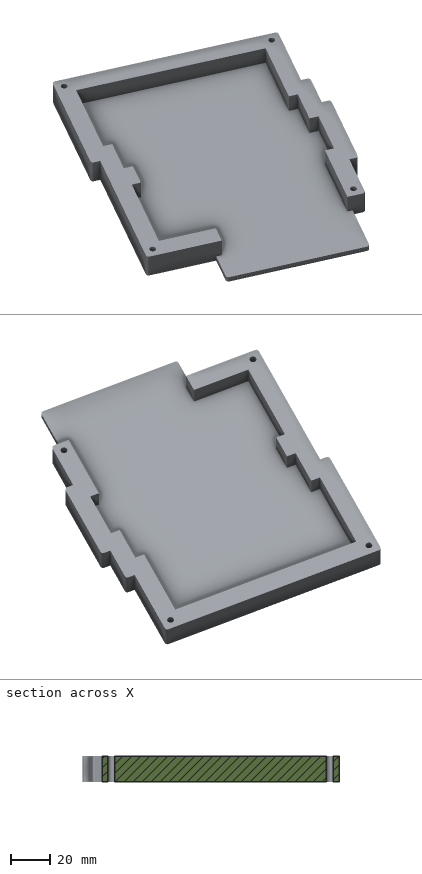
import cadquery as cq

length = 157.3
width = 130.9
height = 13.0

floor_thickness = 3.0
wall = 9.8
half_wall = wall / 2
corner_radius = 1.5
screw_hole_diameter = 3.5

first_step_x = 38.0
step_pitch = 19.0
tab_start_x = first_step_x + step_pitch
tab_end_x = 102.4
back_rim_end_x = 129.0
front_rim_end_x = 140.3
front_step_x = 64.2

front_step_y = half_wall
back_step_y = width - half_wall
back_left_y = width - wall

front_inner_step_x = 54.0
front_bump_start_x = front_inner_step_x + step_pitch
front_bump_end_x = 86.0
front_bump_y = front_step_y + wall + half_wall
tab_pocket_end_x = 92.2
front_arm_end_y = 45.1

plate_front_y = 42.2
plate_back_y = 119.0


def make_body():
    """Full-height block with the stepped outline, convex corners rounded."""
    front_left = (0, 0)
    back_left = (0, back_left_y)
    first_step = (first_step_x, back_step_y)
    tab_start = (tab_start_x, width)
    tab_end = (tab_end_x, width)
    back_right = (back_rim_end_x, back_step_y)
    front_right = (front_rim_end_x, front_step_y)
    front_step = (front_step_x, 0)
    outline = [
        front_left,
        back_left,
        (first_step_x, back_left_y),
        first_step,
        (tab_start_x, back_step_y),
        tab_start,
        tab_end,
        (tab_end_x, back_step_y),
        back_right,
        (back_rim_end_x, front_arm_end_y),
        (front_rim_end_x, front_arm_end_y),
        front_right,
        (front_step_x, front_step_y),
        front_step,
    ]
    body = cq.Workplane("XY").polyline(outline).close().extrude(height)
    rounded_corners = [
        front_left, back_left, first_step, tab_start,
        tab_end, back_right, front_right, front_step,
    ]
    for x, y in rounded_corners:
        corner_edge = cq.selectors.NearestToPointSelector((x, y, height / 2))
        body = body.edges("|Z").edges(corner_edge).fillet(corner_radius)
    return body


def make_pocket():
    """Stepped cavity above the floor, open on the right side."""
    outline = [
        (wall, wall),
        (wall, back_left_y - wall),
        (first_step_x + wall, back_left_y - wall),
        (first_step_x + wall, back_step_y - wall),
        (tab_start_x + wall, back_step_y - wall),
        (tab_start_x + wall, width - wall),
        (tab_pocket_end_x, width - wall),
        (tab_pocket_end_x, back_step_y - wall),
        (length, back_step_y - wall),
        (length, front_arm_end_y),
        (front_rim_end_x - wall, front_arm_end_y),
        (front_rim_end_x - wall, front_step_y + wall),
        (front_bump_end_x, front_step_y + wall),
        (front_bump_end_x, front_bump_y),
        (front_bump_start_x, front_bump_y),
        (front_bump_start_x, front_step_y + wall),
        (front_inner_step_x, front_step_y + wall),
        (front_inner_step_x, wall),
    ]
    pocket = cq.Workplane("XY").workplane(offset=floor_thickness)
    return pocket.polyline(outline).close().extrude(height - floor_thickness)


def make_side_plate():
    """Thin floor extension on the right, with its two outer corners rounded."""
    plate_start_x = tab_end_x
    plate = cq.Workplane("XY").box(
        length - plate_start_x,
        plate_back_y - plate_front_y,
        floor_thickness,
        centered=False,
    )
    plate = plate.edges("|Z and >X").fillet(corner_radius)
    return plate.translate((plate_start_x, plate_front_y, 0))


screw_holes = (
    cq.Workplane("XY")
    .pushPoints([
        (half_wall, half_wall),
        (half_wall, back_left_y - half_wall),
        (back_rim_end_x - half_wall, back_step_y - half_wall),
        (front_rim_end_x - half_wall, front_step_y + half_wall),
    ])
    .circle(screw_hole_diameter / 2)
    .extrude(height)
)

result = make_body().cut(make_pocket()).union(make_side_plate()).cut(screw_holes)